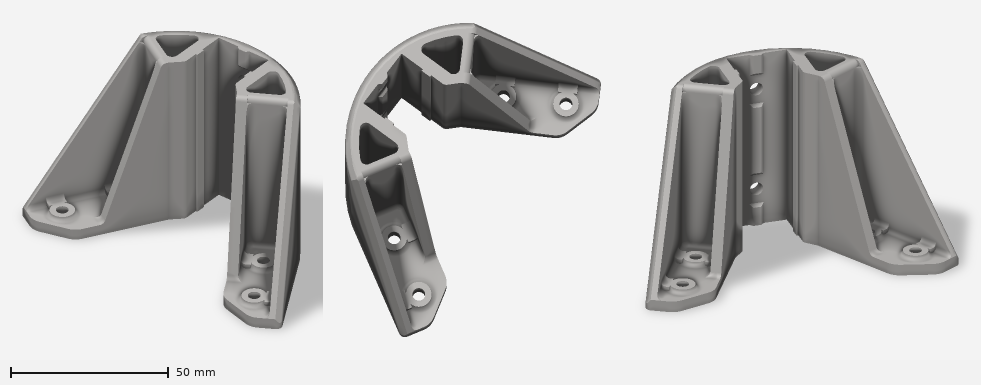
import cadquery as cq
import math

height = 60.0
back_radius = 39.4
floor_height = 3.7
leg_angle = 30

outer_wall = 3.9
inner_wall = 3.5
leg_outer = 39.3
leg_width = 20.5
leg_inner = leg_outer - leg_width
leg_middle = (leg_outer + leg_inner) / 2
pocket_outer = leg_outer - outer_wall
pocket_inner = leg_inner + inner_wall
pocket_width = pocket_outer - pocket_inner
end_wall = -2.7
leg_end = 37.3
inner_toe = 17.1
foot_cut = 10.4

slot_half = 10.1
slot_back_wall = 4.9
slot_back = back_radius - slot_back_wall
slot_mouth = 17.5
slot_round = 2.0
ridge_depth = 0.6
ridge_length = 3.3
ridge_middle = 24.4

key_half = 2.4
key_depth = 1.0
key_gap = 10.0
screw_diameter = 4.4
screw_spacing = 35.2
screw_heights = ((height - screw_spacing) / 2, (height + screw_spacing) / 2)

window_side = 14.2
window_back_wall = 4.4
window_front_wall = 3.2
window_radius = back_radius - window_back_wall
window_front = end_wall - window_front_wall
window_round = 2.0

top_round = 2.0
edge_chamfer = 2.0
chamfer_round = 1.0
corner_round = 2.0
foot_round = 6.0
floor_round = 1.6
toe_round = 2.0

boss_positions = (7.3, 27.2)
boss_radius = 4.0
boss_hole_diameter = 4.0
boss_top = floor_height + floor_round
flare_radius = boss_radius + floor_round
link_start = 3.6
link_length = 6.1

reach = 103.9

cos_leg = math.cos(math.radians(leg_angle))
sin_leg = math.sin(math.radians(leg_angle))


def leg_point(across, along):
    """Plan position of a point given in the leg frame."""
    return (across * cos_leg + along * sin_leg, across * sin_leg - along * cos_leg)


def leg_plan(z):
    """Horizontal plane with local x = across and local y = -along."""
    return cq.Workplane(cq.Plane((0, 0, z), (cos_leg, sin_leg, 0), (0, 0, 1)))


def leg_profile(across):
    """Upright plane with local x = along and local y = Z; it extrudes towards smaller across."""
    origin = (*leg_point(across, 0), 0)
    return cq.Workplane(cq.Plane(origin, (sin_leg, -cos_leg, 0), (-cos_leg, -sin_leg, 0)))


def near(x, y, z):
    return cq.selectors.NearestToPointSelector((x, y, z))


def half_block():
    """Full-height block on the plan outline of the +X half."""
    shoulder = leg_point(leg_outer, -math.sqrt(back_radius**2 - leg_outer**2))
    toe_outer = leg_point(leg_outer, leg_end)
    toe_middle = leg_point(leg_inner + foot_cut, leg_end)
    toe_inner = leg_point(leg_inner, leg_end - foot_cut)
    mouth_sum = slot_half + slot_mouth
    mouth_end_x = (leg_inner - mouth_sum * sin_leg) / (cos_leg - sin_leg)
    block = (
        cq.Workplane()
        .moveTo(0, back_radius)
        .radiusArc(shoulder, back_radius)
        .lineTo(*toe_outer)
        .lineTo(*toe_middle)
        .lineTo(*toe_inner)
        .lineTo(mouth_end_x, mouth_sum - mouth_end_x)
        .lineTo(slot_half, slot_mouth)
        .lineTo(slot_half, slot_back)
        .lineTo(0, slot_back)
        .close()
        .extrude(height)
    )
    rounded_corners = (
        (toe_outer, corner_round),
        (toe_middle, foot_round),
        (toe_inner, foot_round),
        ((slot_half, slot_mouth), slot_round),
    )
    for (x, y), radius in rounded_corners:
        block = block.edges("|Z").edges(near(x, y, height / 2)).fillet(radius)
    return block


def fin_limit(outer, width, toe):
    """Everything below a fin slope that falls from the end wall top to the floor at `toe`."""
    points = [(-reach, 0), (reach, 0), (reach, floor_height), (toe, floor_height)]
    points += [(end_wall, height), (-reach, height)]
    limit = leg_profile(outer).polyline(points).close().extrude(width)
    top_corner = leg_point(outer - width / 2, end_wall)
    return limit.edges(near(*top_corner, height)).fillet(top_round)


def outer_fin_limit():
    return fin_limit(leg_outer, leg_outer - leg_middle, leg_end)


def inner_fin_limit():
    """Limit of the inner fin, with a rounding where its slope meets the floor."""
    limit = fin_limit(leg_middle, reach, inner_toe)
    toe_edge = leg_point(leg_middle - reach / 2, inner_toe)
    return limit.edges(near(*toe_edge, floor_height)).fillet(toe_round)


def outer_edge_limit():
    """Everything inside the chamfer along the outer fin slope, with its lower edge softened."""
    slope_run = leg_end - end_wall
    slope_rise = height - floor_height
    down_slope = (slope_run * sin_leg, -slope_run * cos_leg, -slope_rise)
    slope_foot = (*leg_point(leg_outer, leg_end), floor_height)
    slope_plane = cq.Plane(slope_foot, (cos_leg, sin_leg, 0), down_slope)
    points = [(-reach, -reach), (0, -reach), (0, -edge_chamfer), (-reach - edge_chamfer, reach)]
    limit = cq.Workplane(slope_plane).polyline(points).close().extrude(reach, both=True)
    lower_edge = slope_plane.toWorldCoords((0, -edge_chamfer, 0)).toTuple()
    return limit.edges(near(*lower_edge)).fillet(chamfer_round)


def pocket(bottom):
    """Space between the fins above `bottom`, with rounded upright corners and floor edges."""
    return (
        leg_plan(bottom)
        .center(pocket_inner + pocket_width / 2, -end_wall - reach / 2)
        .rect(pocket_width, reach)
        .extrude(reach)
        .edges("|Z")
        .fillet(corner_round)
        .faces("<Z")
        .edges()
        .fillet(floor_round)
    )


def end_wall_rounding():
    """Waste above the rounded top edge of the end wall."""
    return (
        leg_profile(pocket_outer)
        .moveTo(end_wall - top_round, height)
        .radiusArc((end_wall, height - top_round), top_round)
        .lineTo(end_wall + top_round, height - top_round)
        .lineTo(end_wall + top_round, height)
        .close()
        .extrude(pocket_width)
    )


def back_edge_waste():
    """Waste outside the chamfered and softened top edge of the round back."""
    depth = edge_chamfer + chamfer_round
    base = cq.Workplane(origin=(0, 0, height - depth))
    core = base.circle(back_radius).extrude(depth)
    core = core.faces(">Z").edges().chamfer(edge_chamfer)
    core = core.edges("not <Z").edges("%CIRCLE").fillet(chamfer_round)
    ring = base.circle(back_radius + edge_chamfer).extrude(depth)
    foot_side = leg_plan(0).center(0, -reach / 2).rect(2 * reach, reach).extrude(reach)
    return ring.cut(core).cut(foot_side)


def window():
    """Through opening between the round back, the slot side and the end wall."""
    front_corner_y = (window_side * sin_leg - window_front) / cos_leg
    back_corner_y = math.sqrt(window_radius**2 - window_side**2)
    front_across = math.sqrt(window_radius**2 - window_front**2)
    return (
        cq.Workplane()
        .moveTo(window_side, front_corner_y)
        .lineTo(window_side, back_corner_y)
        .radiusArc(leg_point(front_across, window_front), window_radius)
        .close()
        .extrude(height)
        .edges("|Z")
        .fillet(window_round)
    )


def boss(along):
    """Round boss with a base that flares into the floor."""
    outline = (
        cq.Workplane("XZ")
        .lineTo(flare_radius, 0)
        .lineTo(flare_radius, floor_height)
        .radiusArc((boss_radius, boss_top), floor_round)
        .lineTo(0, boss_top)
        .close()
    )
    round_boss = outline.revolve(360, (0, 0, 0), (0, 1, 0))
    return round_boss.translate((*leg_point(leg_middle, along), 0))


def boss_link(along, side):
    """Raised floor rounding joining a boss to the outer (side = 1) or inner (side = -1) fin."""
    fin_face = pocket_outer if side > 0 else pocket_inner
    link_inside = leg_middle + side * link_start
    block = (
        leg_plan(0)
        .center((fin_face + link_inside) / 2, -along)
        .rect(abs(fin_face - link_inside), link_length)
        .extrude(boss_top + floor_round)
    )
    return block.cut(pocket(boss_top))


def boss_holes():
    return (
        leg_plan(0)
        .pushPoints([(leg_middle, -along) for along in boss_positions])
        .circle(boss_hole_diameter / 2)
        .extrude(height)
    )


def slot_ridge():
    """Shallow full-height ridge on the side of the slot."""
    return (
        cq.Workplane()
        .center(slot_half, ridge_middle)
        .rect(2 * ridge_depth, ridge_length)
        .extrude(height)
    )


def half_part():
    """The +X half with its leg, fins, bosses and window."""
    half = half_block().intersect(outer_fin_limit().union(inner_fin_limit()))
    half = half.intersect(outer_edge_limit())
    half = half.cut(pocket(floor_height)).cut(end_wall_rounding())
    half = half.cut(back_edge_waste()).cut(window())
    for along in boss_positions:
        half = half.union(boss(along)).union(boss_link(along, 1))
    half = half.union(boss_link(boss_positions[0], -1))
    return half.cut(boss_holes()).union(slot_ridge())


def key_segment(z_low, z_high):
    """Key rib on the back of the slot with all four flanks sloping at 45 degrees."""
    return (
        cq.Workplane("XZ", origin=(0, slot_back, 0))
        .center(0, (z_low + z_high) / 2)
        .rect(2 * key_half, z_high - z_low)
        .extrude(key_depth, taper=45)
    )


def locating_key():
    """Key along the full height, interrupted around each screw hole."""
    low_screw, high_screw = screw_heights
    half_gap = key_gap / 2
    key = key_segment(low_screw + half_gap, high_screw - half_gap)
    key = key.union(key_segment(-reach, low_screw - half_gap))
    key = key.union(key_segment(high_screw + half_gap, reach))
    return key.intersect(cq.Workplane().rect(reach, reach).extrude(height))


def screw_holes():
    return (
        cq.Workplane("XZ")
        .pushPoints([(0, z) for z in screw_heights])
        .circle(screw_diameter / 2)
        .extrude(-reach)
    )


right_half = half_part()
result = right_half.union(right_half.mirror("YZ"))
result = result.union(locating_key()).cut(screw_holes())